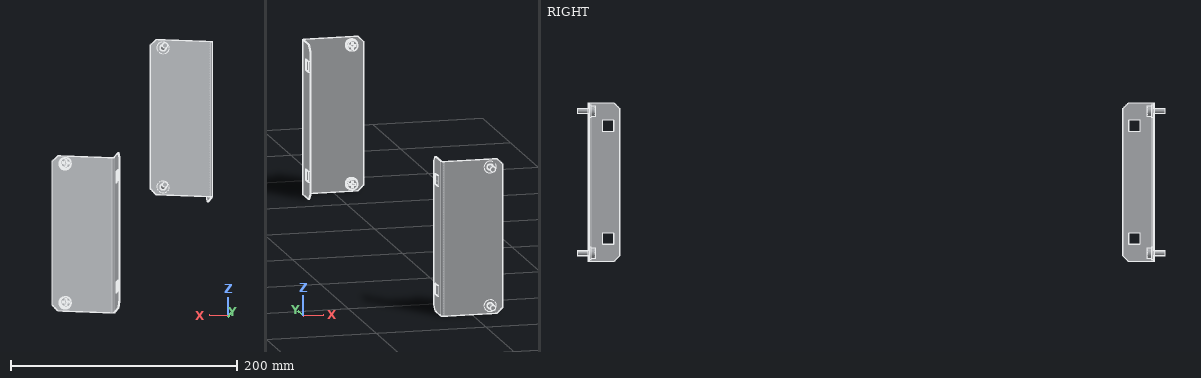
import cadquery as cq

overall_length = 519.0
bracket_height = 140.0
plate_width = 56.0

sheet = 1.0
bend_inner_radius = 1.3
bend_outer_radius = bend_inner_radius + sheet
flange_length = 28.0
corner_chamfer = 5.0

square_hole_side = 10.0
square_hole_from_plate = 17.5
square_hole_z = 50.0

shank_diameter = 4.5
plate_hole_diameter = 5.5
shank_length = 12.0
head_diameter = 9.5
head_height = 3.9
washer_diameter = 11.0
washer_thickness = 1.4
screw_x = 44.5
screw_z = 63.0

recess_span = 6.0
recess_width = 1.5
recess_depth = 2.0

shank_tip_y = overall_length / 2
head_seat_y = shank_tip_y - shank_length
plate_inner_y = head_seat_y + washer_thickness
plate_outer_y = plate_inner_y + sheet
head_top_y = head_seat_y - head_height
flange_end_y = plate_outer_y - flange_length
square_hole_y = plate_outer_y - square_hole_from_plate


def cylinder_along_y(diameter, start_y, end_y, z):
    """Cylinder on the screw axis at height z, from start_y towards +Y up to end_y."""
    plane = cq.Plane(origin=(screw_x, start_y, z), xDir=(1, 0, 0), normal=(0, 1, 0))
    return cq.Workplane(plane).circle(diameter / 2).extrude(end_y - start_y)


def make_bracket():
    """Bent sheet with a plate along X and a flange along -Y, chamfered at the free corners."""
    bracket = (
        cq.Workplane("XY", origin=(0, 0, -bracket_height / 2))
        .moveTo(0, flange_end_y)
        .lineTo(0, plate_outer_y)
        .lineTo(plate_width, plate_outer_y)
        .lineTo(plate_width, plate_inner_y)
        .lineTo(sheet, plate_inner_y)
        .lineTo(sheet, flange_end_y)
        .close()
        .extrude(bracket_height)
    )
    bracket = bracket.edges("|Z and <X and >Y").fillet(bend_outer_radius)
    inner_corner = cq.selectors.NearestToPointSelector((sheet, plate_inner_y, 0))
    bracket = bracket.edges("|Z").edges(inner_corner).fillet(bend_inner_radius)
    bracket = bracket.faces(">X").edges("|Y").chamfer(corner_chamfer)
    bracket = bracket.faces("<Y").edges("|X").chamfer(corner_chamfer)

    square_hole = cq.Workplane("XY").box(4 * sheet, square_hole_side, square_hole_side)
    for side in (-1, 1):
        bracket = bracket.cut(square_hole.translate((0, square_hole_y, side * square_hole_z)))
        screw_hole_z = side * screw_z
        screw_hole = cylinder_along_y(plate_hole_diameter, plate_inner_y, plate_outer_y, screw_hole_z)
        bracket = bracket.cut(screw_hole)
    return bracket


def make_washer(z):
    """Flat ring between the plate and the screw head."""
    disc = cylinder_along_y(washer_diameter, head_seat_y, plate_inner_y, z)
    return disc.cut(cylinder_along_y(shank_diameter, head_seat_y, plate_inner_y, z))


def make_screw(z):
    """Cylindrical-head screw with a cross recess, its shank pointing to +Y."""
    head = cylinder_along_y(head_diameter, head_top_y, head_seat_y, z)
    screw = head.union(cylinder_along_y(shank_diameter, head_seat_y, shank_tip_y, z))
    recess_y = head_top_y + recess_depth / 2
    for size_x, size_z in ((recess_span, recess_width), (recess_width, recess_span)):
        slot = cq.Workplane("XY").box(size_x, recess_depth, size_z)
        screw = screw.cut(slot.translate((screw_x, recess_y, z)))
    return screw


bodies = [make_bracket()]
for screw_level in (-screw_z, screw_z):
    bodies.append(make_washer(screw_level))
    bodies.append(make_screw(screw_level))

mirrored_bodies = [body.mirror("XZ") for body in bodies]

result = cq.Compound.makeCompound([body.val() for body in bodies + mirrored_bodies])